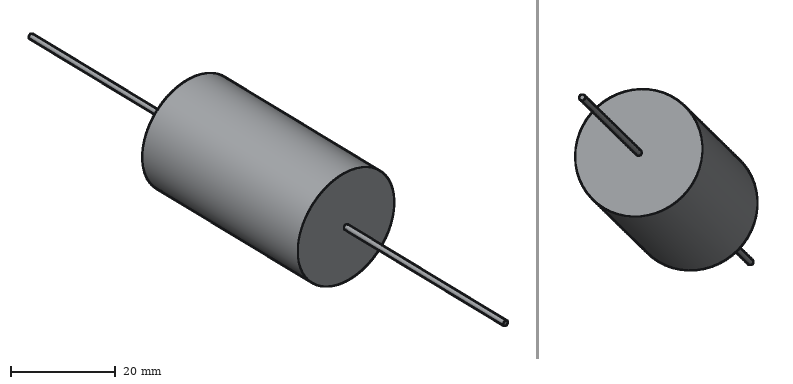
import cadquery as cq

wire_length = 134.0
wire_diameter = 1.2
case_length = 44.0
case_diameter = 25.0


def make_rod(diameter, length):
    """Round rod along X, centred on the origin."""
    return cq.Workplane("YZ", origin=(-length / 2, 0, 0)).circle(diameter / 2).extrude(length)


def make_wire():
    """Lead wire that runs along the axis and sticks out of both ends of the case."""
    return make_rod(wire_diameter, wire_length)


def make_case():
    """Cylindrical case with a through bore that fits the lead wire."""
    bore = make_rod(wire_diameter, case_length)
    return make_rod(case_diameter, case_length).cut(bore)


case = make_case()
wire = make_wire()

result = cq.Compound.makeCompound([case.val(), wire.val()])